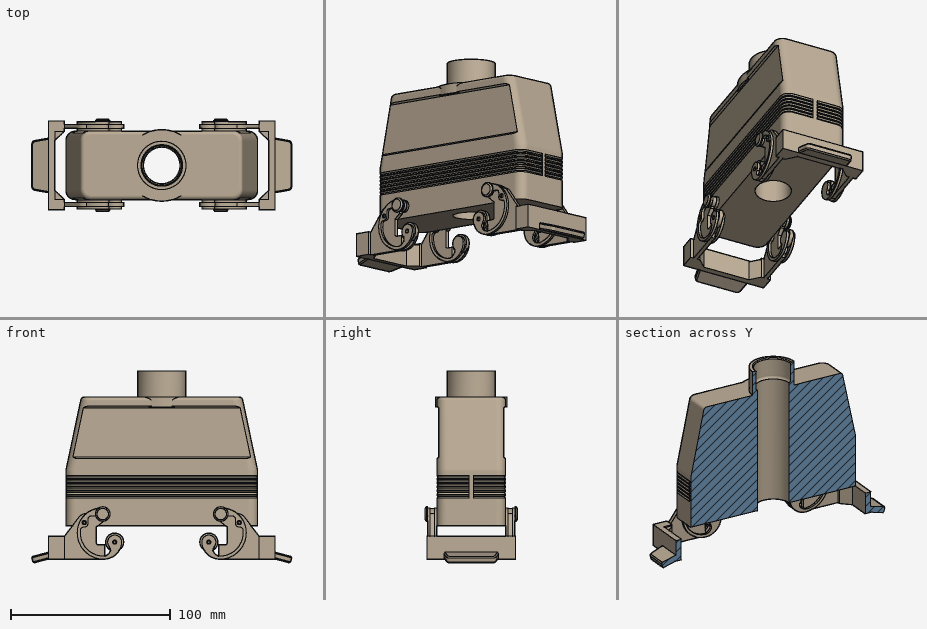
import cadquery as cq
import math


overall_length = 162.8

half_length = 60.0
half_width = 21.5
hood_height = 80.7
bend_height = 34.8
end_lean = 12
bend_radius = 6.5
corner_radius = 6.0
top_radius = 2.5

panel_depth = 1.05
panel_bottom = 42.2
panel_top = 75.0

groove_count = 6
groove_pitch = 2.5
groove_height = 2.0
groove_depth = 0.7
first_groove_bottom = 17.4
groove_gap = 3.0
cut_margin = 1.6

boss_radius = 22.5
boss_bottom = 74.5
neck_radius = 15.1
neck_top = 97.0
bore_radius = 12.4
bore_depth = 11.9
rim_chamfer = 0.7
cable_hole_radius = 11.4
seat_height = 2.1
seat_round = 2.0

cheek_outer = 27.3
plate_inner = 23.1
plate_outer = 25.7
pin_outer = 29.0

lever_bottom = -20.8
hook_x, hook_z = -36.3, -4.2
hook_outer_radius = hook_z - lever_bottom
hook_inner_radius = 14.7
pin_x, pin_z = -37.0, 7.5
pin_radius = 4.5
pin_chamfer = 1.0
cheek_hub_radius = 3.9
plate_hub_radius = 3.5
eye_x, eye_z = -29.5, -10.1
eye_radius = 4.4
roller_radius = 5.7
rivet_x, rivet_z = -48.5, 2.1
dimple_radius = 1.3
dimple_floor_radius = 0.8
dimple_depth = 0.7
rivet_lobe_x = -46.2
cheek_ledge_z = 6.3
cheek_throat = [(-33.0, -13.5), (-32.0, -14.7), (-32.2, -15.6)]
cheek_toe_middle = (-33.7, -17.7)
rivet_lobe_start = [(-50.3, -1.3), (-48.7, -0.7)]
plate_shoulder = [(-51.5, 6.0), (-49.8, 7.2), (-47.2, 7.8)]
plate_crown_middle = (-42.7, 10.3)
notch_x = -40.9
notch_top = -0.7
notch_lead_z = 2.5
notch_floor = -11.7
notch_fillet = 1.1
plate_end = -35.7

bail_half_width = 27.8
bail_outer_x = -71.0
bail_inner_x = -60.9
bail_top = -6.3
bail_bar = 4.0
bail_leg = 6.5
gusset_size = 5.7
gusset_drop = 0.8

tab_tilt = 15
tab_thickness = 4.2
tab_root_half_width = 17.1
tab_tip_half_width = 15.3
tab_root_z = -18.5
tab_root_overlap = 1.6
tab_corner_radius = 2.5
tab_edge_chamfer = 0.8

tab_reach = overall_length / 2 + bail_outer_x
tab_tip_rise = (tab_thickness / 2 - tab_edge_chamfer) * math.sin(math.radians(tab_tilt))
tab_length = (tab_reach - tab_tip_rise) / math.cos(math.radians(tab_tilt))


def circle_point(angle_degrees, radius, x, z):
    """Point of a circle in the XZ plane, angle counted from +X towards +Z."""
    angle = math.radians(angle_degrees)
    return (x + radius * math.cos(angle), z + radius * math.sin(angle))


def slab(outline, y_near, y_far):
    """Extrude an XZ outline between two distances on the +Y side."""
    return outline.extrude(-(y_far - y_near)).translate((0, y_near, 0))


def disc(x, z, radius, y_near, y_far):
    return slab(cq.Workplane("XZ").center(x, z).circle(radius), y_near, y_far)


def hood_body():
    top_half_length = half_length - (hood_height - bend_height) * math.tan(math.radians(end_lean))
    body = (
        cq.Workplane("XZ")
        .polyline([
            (-half_length, 0),
            (half_length, 0),
            (half_length, bend_height),
            (top_half_length, hood_height),
            (-top_half_length, hood_height),
            (-half_length, bend_height),
        ])
        .close()
        .extrude(half_width, both=True)
    )
    body = body.edges("|Y and (<X or >X)").edges(">Z").fillet(bend_radius)
    body = body.edges("(not |Y) and (not #Z)").fillet(corner_radius)
    return body.faces(">Z").edges().fillet(top_radius)


def panel_recess():
    """Cutter for the +Y side panel, with sloping upper and lower borders."""
    floor = half_width - panel_depth
    beyond = half_width + cut_margin
    return (
        cq.Workplane("YZ")
        .polyline([
            (floor, panel_bottom + panel_depth),
            (beyond, panel_bottom - cut_margin),
            (beyond, panel_top + cut_margin),
            (floor, panel_top - panel_depth),
        ])
        .close()
        .extrude(half_length, both=True)
    )


def grip_groove(bottom):
    """Ring cutter with a V section that stops short of the middle of the end walls."""
    middle = bottom + groove_height / 2
    wall_angle = math.degrees(math.atan(2 * groove_depth / groove_height))
    lower_core = (
        cq.Workplane("XY")
        .workplane(offset=bottom)
        .sketch()
        .rect(2 * half_length, 2 * half_width)
        .vertices()
        .fillet(corner_radius)
        .finalize()
        .extrude(groove_height / 2, taper=wall_angle)
    )
    upper_core = lower_core.mirror("XY", (0, 0, middle))
    ring = cq.Workplane("XY").workplane(offset=bottom).rect(
        2 * (half_length + cut_margin), 2 * (half_width + cut_margin)
    ).extrude(groove_height)
    gap = cq.Workplane("XY").workplane(offset=bottom).rect(
        2 * (half_length + cut_margin), groove_gap
    ).extrude(groove_height)
    return ring.cut(lower_core).cut(upper_core).cut(gap)


def neck():
    boss = cq.Workplane("XY").workplane(offset=boss_bottom).circle(boss_radius).extrude(
        hood_height - boss_bottom
    )
    tube = cq.Workplane("XY").workplane(offset=hood_height).circle(neck_radius).extrude(
        neck_top - hood_height
    )
    return boss.union(tube)


def cable_passage():
    """Stepped bore, open from the neck's rim to the hood's bottom."""
    seat_top = neck_top - bore_depth
    return (
        cq.Workplane("XZ")
        .moveTo(0, 0)
        .lineTo(cable_hole_radius, 0)
        .lineTo(cable_hole_radius, seat_top - seat_height)
        .radiusArc((bore_radius, seat_top), -seat_round)
        .lineTo(bore_radius, neck_top - rim_chamfer)
        .lineTo(bore_radius + rim_chamfer, neck_top)
        .lineTo(0, neck_top)
        .close()
        .revolve(360, (0, 0, 0), (0, 1, 0))
    )


def lever_plate():
    outline = (
        cq.Workplane("XZ")
        .moveTo(bail_inner_x, lever_bottom)
        .lineTo(bail_inner_x, bail_top)
        .lineTo(*plate_shoulder[0])
        .threePointArc(*plate_shoulder[1:])
        .threePointArc(plate_crown_middle, (pin_x, pin_z + plate_hub_radius))
        .lineTo(pin_x, notch_lead_z)
        .lineTo(notch_x, notch_top)
        .lineTo(notch_x, notch_floor + notch_fillet)
        .radiusArc((notch_x + notch_fillet, notch_floor), -notch_fillet)
        .lineTo(plate_end, notch_floor)
        .lineTo(plate_end, lever_bottom)
        .close()
    )
    hub = disc(pin_x, pin_z, plate_hub_radius, plate_inner, plate_outer)
    return slab(outline, plate_inner, plate_outer).union(hub)


def touching_radius(along, across, disc_radius):
    """Radius of an arc that encloses a disc and just touches it.

    The arc starts square to the "along" direction, and the disc's centre lies at
    (along, across) from that start.
    """
    return (along**2 + across**2 - disc_radius**2) / (2 * (along - disc_radius))


def hook_cheek(y_near, y_far):
    """Hook-shaped cheek that runs from the pivot pin round the bottom to the eye."""
    toe_radius = touching_radius(eye_z - lever_bottom, eye_x - hook_x, eye_radius)
    toe_z = lever_bottom + toe_radius
    toe_end_angle = math.degrees(math.atan2(eye_z - toe_z, eye_x - hook_x))
    toe_middle_angle = (toe_end_angle - 90) / 2
    hook_side = hook_x - hook_outer_radius
    crown_radius = touching_radius(pin_x - hook_side, pin_z - hook_z, cheek_hub_radius)
    crown_x = hook_side + crown_radius
    crown_start_angle = math.degrees(math.atan2(pin_z - hook_z, pin_x - crown_x))
    crown_middle_angle = (crown_start_angle + 180) / 2
    lobe_radius = rivet_lobe_x - rivet_x
    outline = (
        cq.Workplane("XZ")
        .moveTo(pin_x, pin_z)
        .lineTo(*circle_point(crown_start_angle, crown_radius, crown_x, hook_z))
        .threePointArc(
            circle_point(crown_middle_angle, crown_radius, crown_x, hook_z),
            (hook_side, hook_z),
        )
        .threePointArc(
            circle_point(225, hook_outer_radius, hook_x, hook_z),
            (hook_x, lever_bottom),
        )
        .threePointArc(
            circle_point(toe_middle_angle, toe_radius, hook_x, toe_z),
            circle_point(toe_end_angle, toe_radius, hook_x, toe_z),
        )
        .lineTo(eye_x, eye_z)
        .lineTo(*cheek_throat[0])
        .threePointArc(*cheek_throat[1:])
        .threePointArc(cheek_toe_middle, (hook_x, hook_z - hook_inner_radius))
        .threePointArc(
            circle_point(220, hook_inner_radius, hook_x, hook_z),
            circle_point(175, hook_inner_radius, hook_x, hook_z),
        )
        .threePointArc(*rivet_lobe_start)
        .radiusArc((rivet_lobe_x, rivet_z), -lobe_radius)
        .lineTo(rivet_lobe_x, cheek_ledge_z - lobe_radius)
        .radiusArc((rivet_lobe_x + lobe_radius, cheek_ledge_z), lobe_radius)
        .lineTo(pin_x, cheek_ledge_z)
        .close()
    )
    hub = disc(pin_x, pin_z, cheek_hub_radius, y_near, y_far)
    eye = disc(eye_x, eye_z, eye_radius, y_near, y_far)
    return slab(outline, y_near, y_far).union(hub).union(eye)


def pivot_pin():
    pin = disc(pin_x, pin_z, pin_radius, cheek_outer, pin_outer)
    return pin.faces(">Y").chamfer(pin_chamfer)


def rivet_dimple(x, z):
    dimple = cq.Solid.makeCone(
        dimple_floor_radius,
        dimple_radius,
        dimple_depth,
        cq.Vector(x, cheek_outer - dimple_depth, z),
        cq.Vector(0, 1, 0),
    )
    return cq.Workplane(dimple)


def lever_side():
    """Everything of one lever on the +Y side of the hood."""
    roller = disc(eye_x, eye_z, roller_radius, plate_inner, plate_outer)
    side = (
        lever_plate()
        .union(roller)
        .union(hook_cheek(half_width, plate_inner))
        .union(hook_cheek(plate_outer, cheek_outer))
        .union(pivot_pin())
    )
    for x, z in [(rivet_x, rivet_z), (eye_x, eye_z)]:
        side = side.cut(rivet_dimple(x, z))
    return side


def bail():
    leg_inner = bail_half_width - bail_leg
    bar_inner_x = bail_outer_x + bail_bar
    frame = (
        cq.Workplane("XY")
        .workplane(offset=lever_bottom)
        .polyline([
            (bail_outer_x, -bail_half_width),
            (bail_inner_x, -bail_half_width),
            (bail_inner_x, -leg_inner),
            (bar_inner_x, -leg_inner),
            (bar_inner_x, leg_inner),
            (bail_inner_x, leg_inner),
            (bail_inner_x, bail_half_width),
            (bail_outer_x, bail_half_width),
        ])
        .close()
        .extrude(bail_top - lever_bottom)
    )
    gusset = (
        cq.Workplane("XY")
        .workplane(offset=lever_bottom)
        .polyline([
            (bar_inner_x, leg_inner),
            (bail_inner_x, leg_inner),
            (bar_inner_x, leg_inner - gusset_size),
        ])
        .close()
        .extrude(bail_top - gusset_drop - lever_bottom)
    )
    return frame.union(gusset).union(gusset.mirror("XZ"))


def finger_tab():
    tab = (
        cq.Workplane("XY")
        .polyline([
            (tab_root_overlap, -tab_root_half_width),
            (0, -tab_root_half_width),
            (-tab_length, -tab_tip_half_width),
            (-tab_length, tab_tip_half_width),
            (0, tab_root_half_width),
            (tab_root_overlap, tab_root_half_width),
        ])
        .close()
        .extrude(tab_thickness / 2, both=True)
    )
    tab = tab.edges("|Z and <X").fillet(tab_corner_radius)
    tab = tab.faces("<Z or >Z").edges("not >X").chamfer(tab_edge_chamfer)
    tab = tab.rotate((0, 0, 0), (0, 1, 0), -tab_tilt)
    return tab.translate((bail_outer_x, 0, tab_root_z))


hood = hood_body()
recess = panel_recess()
hood = hood.cut(recess).cut(recess.mirror("XZ"))
for index in range(groove_count):
    hood = hood.cut(grip_groove(first_groove_bottom + index * groove_pitch))
hood = hood.union(neck()).cut(cable_passage())

side = lever_side()
lever = bail().union(finger_tab()).union(side).union(side.mirror("XZ"))

result = hood.union(lever).union(lever.mirror("YZ"))